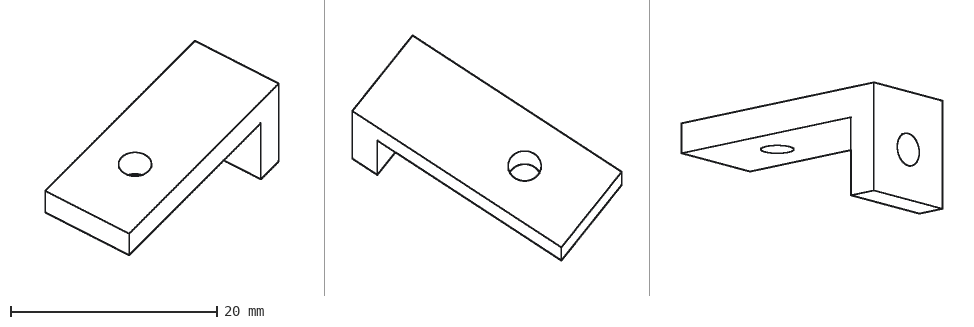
import cadquery as cq

width = 10.0
length = 25.0
height = 10.8
thickness = 3.0

hole_diameter = 3.2
plate_hole_from_free_end = 8.0
leg_hole_from_bottom = 5.0


def make_bracket():
    """L-shaped body: top plate with a leg hanging down at the +Y end."""
    plate_underside = height - thickness
    leg_inner_face = length - thickness
    profile = [
        (0, height),
        (length, height),
        (length, 0),
        (leg_inner_face, 0),
        (leg_inner_face, plate_underside),
        (0, plate_underside),
    ]
    body = cq.Workplane("YZ").polyline(profile).close()
    return body.extrude(width / 2, both=True)


def make_plate_hole():
    """Vertical cutter through the plate."""
    return (
        cq.Workplane("XY")
        .center(0, plate_hole_from_free_end)
        .circle(hole_diameter / 2)
        .extrude(height)
    )


def make_leg_hole():
    """Horizontal cutter through the leg, clear of the plate."""
    return (
        cq.Workplane("XZ", origin=(0, length, 0))
        .center(0, leg_hole_from_bottom)
        .circle(hole_diameter / 2)
        .extrude(thickness)
    )


result = make_bracket().cut(make_plate_hole()).cut(make_leg_hole())